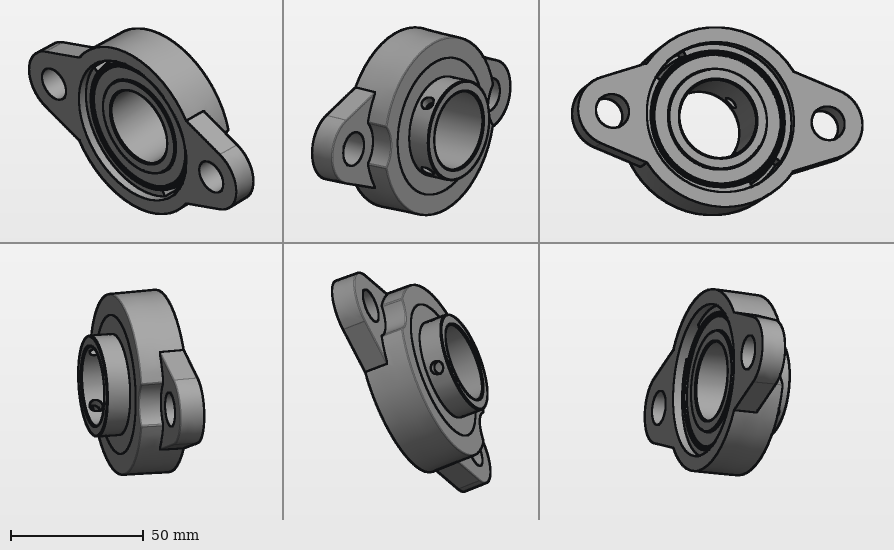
import cadquery as cq
import math


length = 111.4
body_diameter = 69.0
body_depth = 18.2
ear_thickness = 9.5
ear_end_radius = 13.5
ear_side_angle = 19.7
draft_angle = 1.0
bolt_hole_diameter = 12.9
bolt_offset = length / 2 - ear_end_radius
spotface_radius = 12.0
spotface_edge_round = 0.8
back_edge_round = 0.3
recess_diameter = 57.7
recess_depth = 3.7

seat_opening_radius = 26.3
seat_center_y = (recess_depth + body_depth) / 2
seat_half_width = seat_center_y - recess_depth
seat_radius = math.hypot(seat_opening_radius, seat_half_width)

slot_direction = 133.3
slot_half_angle = 15.3

total_depth = 27.3
bore_radius = 30.0 / 2
bore_chamfer = 0.5
outer_ring_chamfer = 0.6
insert_front_y = recess_depth - outer_ring_chamfer
collar_radius = 38.2 / 2
collar_chamfer = 0.3
seal_inner_radius = 38.8 / 2
seal_outer_radius = 49.4 / 2
outer_ring_bore_radius = 50.0 / 2
seal_setback = 0.8
seal_gap_depth = 1.1
set_screw_diameter = 5.0
set_screw_y = 22.6
set_screw_angles = (45, -45)


def axial_plane(y):
    """Plane across the shaft axis whose normal is +Y and whose local y is -Z."""
    return cq.Workplane(cq.Plane(origin=(0, y, 0), xDir=(1, 0, 0), normal=(0, 1, 0)))


def turn(profile):
    """Revolve a closed (radius, y) outline about the shaft axis."""
    return profile.close().revolve(360, (0, 0), (0, 1))


def make_ears():
    """Plate with a rounded end at each bolt hole and straight sides rising to the middle."""
    slope = math.radians(ear_side_angle)
    tangent_x = bolt_offset + ear_end_radius * math.sin(slope)
    tangent_z = ear_end_radius * math.cos(slope)
    apex_z = tangent_z + tangent_x * math.tan(slope)
    return (
        axial_plane(0)
        .moveTo(0, apex_z)
        .lineTo(tangent_x, tangent_z)
        .threePointArc((length / 2, 0), (tangent_x, -tangent_z))
        .lineTo(0, -apex_z)
        .lineTo(-tangent_x, -tangent_z)
        .threePointArc((-length / 2, 0), (-tangent_x, tangent_z))
        .close()
        .extrude(ear_thickness, taper=draft_angle)
        .faces(">Y").edges().fillet(back_edge_round)
    )


def make_drum():
    """Drafted round body with a concave relief beside each bolt hole."""
    drum = axial_plane(0).circle(body_diameter / 2).extrude(body_depth, taper=draft_angle)
    reliefs = (
        axial_plane(ear_thickness)
        .pushPoints([(bolt_offset, 0), (-bolt_offset, 0)])
        .circle(spotface_radius)
        .extrude(body_depth)
    )
    drum = drum.cut(reliefs)
    inner_x = bolt_offset - spotface_radius
    for side in (-1, 1):
        corners = cq.selectors.BoxSelector(
            (side * inner_x, ear_thickness + back_edge_round, -spotface_radius),
            (side * bolt_offset, body_depth - back_edge_round, spotface_radius),
        )
        drum = drum.edges(corners).edges("not #Y").fillet(spotface_edge_round)
    return drum.faces(">Y").edges().fillet(back_edge_round)


def make_recess(depth):
    """Round cutter, sunk from the mounting face."""
    return axial_plane(0).circle(recess_diameter / 2).extrude(depth)


def make_loading_slot(direction):
    """Sector of the recess, deepened to the seat centre."""
    def corner(angle):
        turn_angle = math.radians(direction + angle)
        return body_diameter * math.cos(turn_angle), -body_diameter * math.sin(turn_angle)

    sector = (
        axial_plane(0)
        .lineTo(*corner(-slot_half_angle))
        .lineTo(*corner(slot_half_angle))
        .close()
        .extrude(seat_center_y)
    )
    return make_recess(seat_center_y).intersect(sector)


def make_housing():
    bolt_holes = (
        axial_plane(0)
        .pushPoints([(bolt_offset, 0), (-bolt_offset, 0)])
        .circle(bolt_hole_diameter / 2)
        .extrude(body_depth)
    )
    seat = turn(
        cq.Workplane("XY")
        .moveTo(0, recess_depth)
        .lineTo(seat_opening_radius, recess_depth)
        .threePointArc((seat_radius, seat_center_y), (seat_opening_radius, body_depth))
        .lineTo(0, body_depth)
    )
    housing = make_drum().union(make_ears()).cut(bolt_holes).cut(make_recess(recess_depth)).cut(seat)
    for direction in (slot_direction, slot_direction + 180):
        housing = housing.cut(make_loading_slot(direction))
    return housing


def make_insert():
    seal_y = insert_front_y + seal_setback
    gap_y = seal_y + seal_gap_depth
    insert = turn(
        cq.Workplane("XY")
        .moveTo(bore_radius, insert_front_y + bore_chamfer)
        .lineTo(bore_radius + bore_chamfer, insert_front_y)
        .lineTo(collar_radius, insert_front_y)
        .lineTo(collar_radius, gap_y)
        .lineTo(seal_inner_radius, gap_y)
        .lineTo(seal_inner_radius, seal_y)
        .lineTo(seal_outer_radius, seal_y)
        .lineTo(seal_outer_radius, gap_y)
        .lineTo(outer_ring_bore_radius, gap_y)
        .lineTo(outer_ring_bore_radius, insert_front_y)
        .lineTo(seat_opening_radius - outer_ring_chamfer, insert_front_y)
        .lineTo(seat_opening_radius, recess_depth)
        .threePointArc((seat_radius, seat_center_y), (seat_opening_radius, body_depth))
        .lineTo(collar_radius, body_depth)
        .lineTo(collar_radius, total_depth - collar_chamfer)
        .lineTo(collar_radius - collar_chamfer, total_depth)
        .lineTo(bore_radius + bore_chamfer, total_depth)
        .lineTo(bore_radius, total_depth - bore_chamfer)
    )
    for angle in set_screw_angles:
        direction = cq.Vector(math.cos(math.radians(angle)), 0, math.sin(math.radians(angle)))
        start = cq.Vector(0, set_screw_y, 0)
        screw_hole = cq.Solid.makeCylinder(set_screw_diameter / 2, 2 * collar_radius, start, direction)
        insert = insert.cut(cq.Workplane(screw_hole))
    return insert


housing = make_housing()
insert = make_insert()

result = cq.Compound.makeCompound([housing.solids().val(), insert.solids().val()])